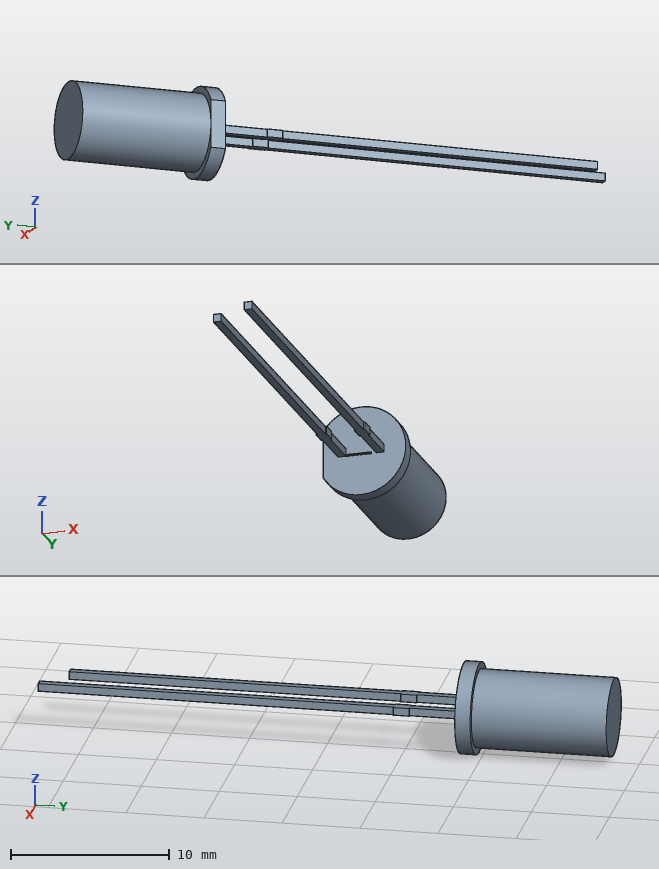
import cadquery as cq

overall_length = 36.6
body_diameter = 5.0
body_radius = body_diameter / 2
flange_diameter = 5.9
flange_thickness = 1.0
housing_length = 9.63

lead_width = 0.5
lead_pitch = 2.53
long_lead_length = overall_length - housing_length
lead_length_difference = 1.5
short_lead_length = long_lead_length - lead_length_difference
collar_width = 0.7
collar_length = 1.02
collar_offset = 3.2

slot_height = 0.1
slot_depth = 0.1
slot_end_x = 0.65


def cylinder_along_y(diameter, length):
    """Cylinder with its base on the plane Y = 0, extending toward +Y."""
    return cq.Workplane("XZ").circle(diameter / 2).extrude(-length)


def flange():
    """Disc with one flat, tangent to the lens body on the short lead's side."""
    disc = cylinder_along_y(flange_diameter, flange_thickness)
    keep = cq.Workplane("XY").box(
        flange_diameter, flange_thickness, flange_diameter, centered=(False, False, True)
    )
    return disc.intersect(keep.translate((-body_radius, 0, 0)))


def lead(x_center, length):
    """Square lead running toward -Y from the flange, with its collar."""
    base = cq.Workplane("XZ").center(x_center, 0)
    wire = base.rect(lead_width, lead_width).extrude(length)
    collar = (
        base.workplane(offset=collar_offset)
        .rect(collar_width, lead_width)
        .extrude(collar_length)
    )
    return wire.union(collar)


def base_slot():
    """Slot cutter whose lower side is level with the undersides of the leads."""
    slot_start_x = (lead_width - lead_pitch) / 2
    return (
        cq.Workplane("XY")
        .box(slot_end_x - slot_start_x, slot_depth, slot_height, centered=False)
        .translate((slot_start_x, 0, -lead_width / 2))
    )


result = (
    cylinder_along_y(body_diameter, housing_length)
    .union(flange())
    .cut(base_slot())
    .union(lead(-lead_pitch / 2, short_lead_length))
    .union(lead(lead_pitch / 2, long_lead_length))
)